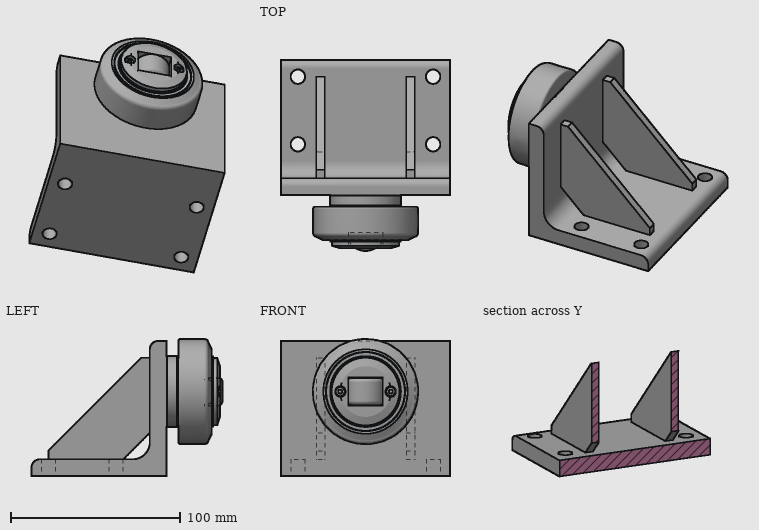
import cadquery as cq

BRACKET_WIDTH = 100.0
BRACKET_SIZE = 80.0
WALL = 10.0
HEEL_RADIUS = 10.0
TOE_RADIUS = 5.0

MOUNT_HOLE_DIAMETER = 8.38
MOUNT_EDGE_DISTANCE = 10.0
MOUNT_SPACING_Y = 40.0

RIB_THICKNESS = 5.0
RIB_SPACING = 53.0
RIB_END_INSET = 10.0
RIB_END_LENGTH = 5.0
RIB_RELIEF = 15.5

AXIS_HEIGHT = 50.0
HUB_RADIUS = 42.1 / 2
HUB_CHAMFER = 0.4
HUB_LENGTH = 6.4
SPACER_RADIUS = 40.0 / 2
ROLLER_RADIUS = 62.5 / 2
ROLLER_BACK = 6.9
ROLLER_FRONT = 26.8
ROLLER_BACK_FILLET = 1.3
CROWN_DROP = 0.1
ROUND_START = 22.4
ROUND_END = 24.8
ROUND_END_RADIUS = 29.0
FACE_RADIUS = 25.0

GROOVE_RADIUS = 47.0 / 2
GROOVE_WIDTH = 0.3
GROOVE_DEPTH = 0.5
COLLAR_BASE_RADIUS = 42.0 / 2
COLLAR_RADIUS = 41.5 / 2
COLLAR_FRONT = 27.5
CAP_RADIUS = 40.0 / 2
CAP_RIM = 30.0
CAP_FACE_RADIUS = 15.0
CAP_FRONT = 31.6

TOTAL_PROJECTION = 33.15
SIDE_ROLLER_RADIUS = 11.0
SIDE_ROLLER_LENGTH = 16.0
SIDE_ROLLER_FILLET = 2.5
SIDE_ROLLER_DEPTH = TOTAL_PROJECTION - SIDE_ROLLER_RADIUS
POCKET_WIDTH = 20.2
POCKET_HEIGHT = 17.0

SCREW_OFFSET = 15.0
RECESS_MOUTH_DIAMETER = 6.5
RECESS_FLOOR_DIAMETER = 5.35
RECESS_DEPTH = 1.6
SOCKET_DIAMETER = 2.4
SOCKET_DEPTH = 0.3


def front_plane(depth):
    """Plane on the roller axis, facing -Y, at a distance in front of the upright."""
    return cq.Workplane("XZ", origin=(0, -depth, AXIS_HEIGHT))


def angle_bracket():
    profile = (
        cq.Workplane("YZ", origin=(-BRACKET_WIDTH / 2, 0, 0))
        .lineTo(BRACKET_SIZE, 0)
        .lineTo(BRACKET_SIZE, WALL - TOE_RADIUS)
        .radiusArc((BRACKET_SIZE - TOE_RADIUS, WALL), -TOE_RADIUS)
        .lineTo(WALL + HEEL_RADIUS, WALL)
        .radiusArc((WALL, WALL + HEEL_RADIUS), HEEL_RADIUS)
        .lineTo(WALL, BRACKET_SIZE - TOE_RADIUS)
        .radiusArc((WALL - TOE_RADIUS, BRACKET_SIZE), -TOE_RADIUS)
        .lineTo(0, BRACKET_SIZE)
        .close()
    )
    mount_centre_y = BRACKET_SIZE - MOUNT_EDGE_DISTANCE - MOUNT_SPACING_Y / 2
    holes = (
        cq.Workplane("XY", origin=(0, mount_centre_y, 0))
        .rarray(BRACKET_WIDTH - 2 * MOUNT_EDGE_DISTANCE, MOUNT_SPACING_Y, 2, 2)
        .circle(MOUNT_HOLE_DIAMETER / 2)
        .extrude(WALL)
    )
    return profile.extrude(BRACKET_WIDTH).cut(holes)


def rib(centre_x):
    end = BRACKET_SIZE - RIB_END_INSET
    shoulder = WALL + RIB_END_LENGTH
    return (
        cq.Workplane("YZ", origin=(centre_x - RIB_THICKNESS / 2, 0, 0))
        .moveTo(WALL + RIB_RELIEF, WALL)
        .lineTo(end, WALL)
        .lineTo(end, shoulder)
        .lineTo(shoulder, end)
        .lineTo(WALL, end)
        .lineTo(WALL, WALL + RIB_RELIEF)
        .close()
        .extrude(RIB_THICKNESS)
    )


def main_roller():
    """Hub, crowned roller and cap turned from one half section, X being the radius."""
    crown_middle = (ROLLER_BACK + ROLLER_BACK_FILLET + ROUND_START) / 2
    crown_edge = ROLLER_RADIUS - CROWN_DROP
    groove_floor = ROLLER_FRONT - GROOVE_DEPTH
    section = (
        cq.Workplane("XY")
        .lineTo(HUB_RADIUS - HUB_CHAMFER, 0)
        .lineTo(HUB_RADIUS, -HUB_CHAMFER)
        .lineTo(HUB_RADIUS, HUB_CHAMFER - HUB_LENGTH)
        .lineTo(HUB_RADIUS - HUB_CHAMFER, -HUB_LENGTH)
        .lineTo(SPACER_RADIUS, -HUB_LENGTH)
        .lineTo(SPACER_RADIUS, -ROLLER_BACK)
        .lineTo(crown_edge - ROLLER_BACK_FILLET, -ROLLER_BACK)
        .radiusArc((crown_edge, -ROLLER_BACK - ROLLER_BACK_FILLET), ROLLER_BACK_FILLET)
        .threePointArc((ROLLER_RADIUS, -crown_middle), (crown_edge, -ROUND_START))
        .tangentArcPoint((ROUND_END_RADIUS, -ROUND_END), relative=False)
        .lineTo(FACE_RADIUS, -ROLLER_FRONT)
        .lineTo(GROOVE_RADIUS, -ROLLER_FRONT)
        .lineTo(GROOVE_RADIUS, -groove_floor)
        .lineTo(GROOVE_RADIUS - GROOVE_WIDTH, -groove_floor)
        .lineTo(GROOVE_RADIUS - GROOVE_WIDTH, -ROLLER_FRONT)
        .lineTo(COLLAR_BASE_RADIUS, -ROLLER_FRONT)
        .lineTo(COLLAR_RADIUS, -COLLAR_FRONT)
        .lineTo(CAP_RADIUS, -COLLAR_FRONT)
        .lineTo(CAP_RADIUS, -CAP_RIM)
        .lineTo(CAP_FACE_RADIUS, -CAP_FRONT)
        .lineTo(0, -CAP_FRONT)
        .close()
    )
    turned = section.revolve(360, (0, 0, 0), (0, 1, 0))
    return turned.translate((0, 0, AXIS_HEIGHT))


def roller_pocket():
    return (
        front_plane(SIDE_ROLLER_DEPTH)
        .rect(POCKET_WIDTH, POCKET_HEIGHT)
        .extrude(TOTAL_PROJECTION - SIDE_ROLLER_DEPTH)
    )


def side_roller():
    bottom = AXIS_HEIGHT - SIDE_ROLLER_LENGTH / 2
    return (
        cq.Workplane("XY", origin=(0, -SIDE_ROLLER_DEPTH, bottom))
        .circle(SIDE_ROLLER_RADIUS)
        .extrude(SIDE_ROLLER_LENGTH)
        .edges()
        .fillet(SIDE_ROLLER_FILLET)
    )


def cap_screw_recess(centre_x):
    floor_depth = CAP_FRONT - RECESS_DEPTH
    recess = (
        front_plane(floor_depth)
        .center(centre_x, 0)
        .circle(RECESS_FLOOR_DIAMETER / 2)
        .workplane(offset=RECESS_DEPTH)
        .circle(RECESS_MOUTH_DIAMETER / 2)
        .loft(ruled=True)
    )
    socket = (
        front_plane(floor_depth - SOCKET_DEPTH)
        .center(centre_x, 0)
        .circle(SOCKET_DIAMETER / 2)
        .extrude(SOCKET_DEPTH)
    )
    return recess.union(socket)


result = angle_bracket()
for rib_x in (-RIB_SPACING / 2, RIB_SPACING / 2):
    result = result.union(rib(rib_x))
result = result.union(main_roller())
result = result.cut(roller_pocket()).union(side_roller())
for screw_x in (-SCREW_OFFSET, SCREW_OFFSET):
    result = result.cut(cap_screw_recess(screw_x))